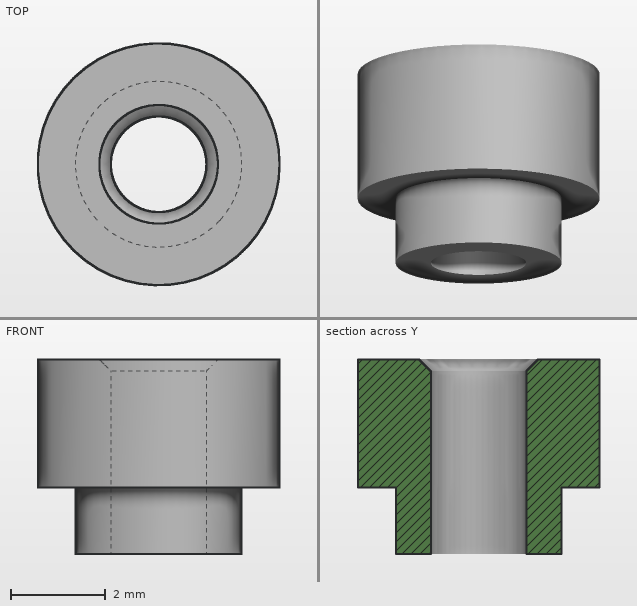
import cadquery as cq

head_diameter = 5.1
shank_diameter = 3.5
bore_diameter = 2.01
countersink_diameter = 2.5
total_height = 4.1
shank_height = 1.4

head_height = total_height - shank_height
countersink_depth = (countersink_diameter - bore_diameter) / 2


def make_body():
    """Shank standing on Z = 0 with the head on top of it."""
    shank = cq.Workplane("XY").circle(shank_diameter / 2).extrude(shank_height)
    return shank.faces(">Z").workplane().circle(head_diameter / 2).extrude(head_height)


def cut_bore(body):
    """Bore through the full height, then bevel its upper rim."""
    bored = body.faces(">Z").workplane().circle(bore_diameter / 2).cutThruAll()
    bore_rim = bored.faces(">Z").edges("%CIRCLE").edges(cq.selectors.RadiusNthSelector(0))
    return bore_rim.chamfer(countersink_depth)


result = cut_bore(make_body())